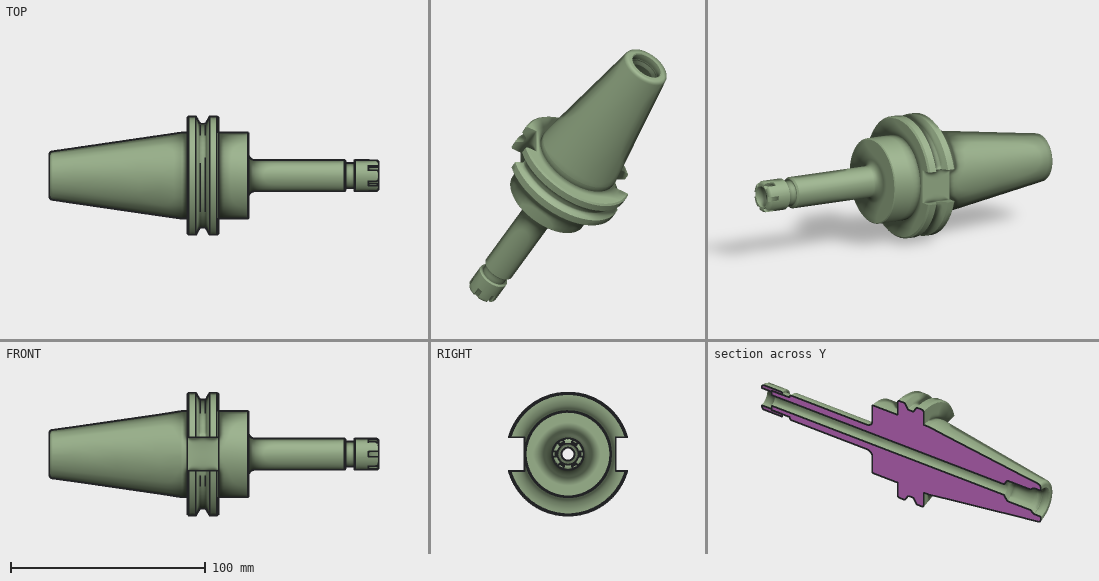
import cadquery as cq
import math

TOTAL_LENGTH = 169.8
TAPER_END_X = 68.3
FLANGE_START_X = 71.2
FLANGE_END_X = 87.3
BODY_END_X = 102.8
SHANK_END_X = 152.9
NUT_START_X = 157.3

BODY_DIAMETER = 44.5
FLANGE_DIAMETER = 63.5
SHANK_DIAMETER = 16.3
NECK_DIAMETER = 13.0

TAPER_RATIO = 7 / 24
TAPER_EDGE_FILLET = 2.0

FLANGE_CHAMFER = 0.8
GROOVE_CENTRE_X = 79.2
GROOVE_FLOOR_WIDTH = 3.0
GROOVE_DEPTH = 3.5
GROOVE_WALL_ANGLE = 30
GROOVE_FLOOR_FILLET = 0.5
DRIVE_SLOT_WIDTH = 17.2
DRIVE_FLOOR_FRONT = 22.5
DRIVE_FLOOR_BACK = 24.6

BODY_EDGE_CHAMFER = 0.5
SHANK_ROOT_FILLET = 3.0
SHANK_CHAMFER = 0.8

BORE_MOUTH_DIAMETER = 17.7
COUNTERBORE_DIAMETER = 16.6
COUNTERBORE_DEPTH = 4.0
THREAD_DIAMETER = 16.0
THREAD_DEPTH = 4.8
CENTRE_CONE_ANGLE = 90
TAP_DRILL_DIAMETER = 13.0
TAP_DRILL_DEPTH = 20.4
DRILL_POINT_ANGLE = 118
THROUGH_DIAMETER = 6.6

NUT_DIAMETER = 16.3
NUT_REAR_CHAMFER = 0.3
NUT_NOSE_FILLET = 1.7
NUT_OPENING_DIAMETER = 10.9
NUT_LIP_LENGTH = 6.0
NUT_SLOT_COUNT = 6
NUT_SLOT_WIDTH = 2.7
NUT_SLOT_LENGTH = 5.5
NUT_SLOT_DEPTH = 2.0
NUT_SLOT_FILLET = 0.5

NECK_END_X = TOTAL_LENGTH - NUT_LIP_LENGTH


def cylinder_x(diameter, start_x, end_x):
    return cq.Workplane("YZ", origin=(start_x, 0, 0)).circle(diameter / 2).extrude(end_x - start_x)


def turned(points):
    """Revolve a closed (x, radius) outline about the X axis."""
    return cq.Workplane("XY").polyline(points).close().revolve(360, (0, 0, 0), (1, 0, 0))


def make_taper():
    small_radius = (BODY_DIAMETER - TAPER_END_X * TAPER_RATIO) / 2
    taper = turned([
        (0, 0),
        (0, small_radius),
        (TAPER_END_X, BODY_DIAMETER / 2),
        (TAPER_END_X, 0),
    ])
    return taper.faces("<X").edges().fillet(TAPER_EDGE_FILLET)


def make_groove_cutter():
    floor_radius = FLANGE_DIAMETER / 2 - GROOVE_DEPTH
    clear_radius = FLANGE_DIAMETER / 2 + 1.7
    half_floor = GROOVE_FLOOR_WIDTH / 2
    half_top = half_floor + (clear_radius - floor_radius) * math.tan(math.radians(GROOVE_WALL_ANGLE))
    cutter = turned([
        (GROOVE_CENTRE_X - half_floor, floor_radius),
        (GROOVE_CENTRE_X + half_floor, floor_radius),
        (GROOVE_CENTRE_X + half_top, clear_radius),
        (GROOVE_CENTRE_X - half_top, clear_radius),
    ])
    floor_edges = cutter.edges(cq.selectors.RadiusNthSelector(0))
    return floor_edges.fillet(GROOVE_FLOOR_FILLET)


def make_drive_slot_cutter(side, floor_distance):
    """Block that clears one drive slot; side is -1 for -Y and +1 for +Y."""
    depth = FLANGE_DIAMETER / 2
    length = FLANGE_END_X - FLANGE_START_X
    return cq.Workplane("XY").box(length, depth, DRIVE_SLOT_WIDTH).translate(
        ((FLANGE_START_X + FLANGE_END_X) / 2, side * (floor_distance + depth / 2), 0)
    )


def make_flange():
    flange = cylinder_x(FLANGE_DIAMETER, FLANGE_START_X, FLANGE_END_X)
    flange = flange.faces("<X or >X").edges().chamfer(FLANGE_CHAMFER)
    flange = flange.cut(make_groove_cutter())
    flange = flange.cut(make_drive_slot_cutter(-1, DRIVE_FLOOR_FRONT))
    return flange.cut(make_drive_slot_cutter(1, DRIVE_FLOOR_BACK))


def make_shank():
    """Shank with a flared root and a chamfered end, and the neck that carries the nut."""
    radius = SHANK_DIAMETER / 2
    root_centre = (BODY_END_X + SHANK_ROOT_FILLET, radius + SHANK_ROOT_FILLET)
    arc_offset = SHANK_ROOT_FILLET * math.sin(math.radians(45))
    shank = (
        cq.Workplane("XY")
        .moveTo(BODY_END_X, 0)
        .lineTo(BODY_END_X, root_centre[1])
        .threePointArc(
            (root_centre[0] - arc_offset, root_centre[1] - arc_offset),
            (root_centre[0], radius),
        )
        .lineTo(SHANK_END_X - SHANK_CHAMFER, radius)
        .lineTo(SHANK_END_X, radius - SHANK_CHAMFER)
        .lineTo(SHANK_END_X, 0)
        .close()
        .revolve(360, (0, 0, 0), (1, 0, 0))
    )
    return shank.union(cylinder_x(NECK_DIAMETER, SHANK_END_X, NECK_END_X))


def make_bore():
    """Stepped bore: counterbore, threaded length, tap drill with its point, and through hole."""
    mouth_chamfer = (BORE_MOUTH_DIAMETER - COUNTERBORE_DIAMETER) / 2
    cone_slope = math.tan(math.radians(CENTRE_CONE_ANGLE / 2))
    cone_length = (THREAD_DIAMETER - TAP_DRILL_DIAMETER) / 2 / cone_slope
    point_slope = math.tan(math.radians(DRILL_POINT_ANGLE / 2))
    point_length = (TAP_DRILL_DIAMETER - THROUGH_DIAMETER) / 2 / point_slope
    return turned([
        (0, 0),
        (0, BORE_MOUTH_DIAMETER / 2),
        (mouth_chamfer, COUNTERBORE_DIAMETER / 2),
        (COUNTERBORE_DEPTH, COUNTERBORE_DIAMETER / 2),
        (COUNTERBORE_DEPTH, THREAD_DIAMETER / 2),
        (THREAD_DEPTH, THREAD_DIAMETER / 2),
        (THREAD_DEPTH + cone_length, TAP_DRILL_DIAMETER / 2),
        (TAP_DRILL_DEPTH, TAP_DRILL_DIAMETER / 2),
        (TAP_DRILL_DEPTH + point_length, THROUGH_DIAMETER / 2),
        (NECK_END_X, THROUGH_DIAMETER / 2),
        (NECK_END_X, 0),
    ])


def make_holder():
    body = cylinder_x(BODY_DIAMETER, TAPER_END_X, BODY_END_X)
    body = body.faces(">X").edges().chamfer(BODY_EDGE_CHAMFER)
    holder = make_taper().union(body).union(make_flange()).union(make_shank())
    return holder.cut(make_bore())


def make_nut_slots():
    """Wrench slots in the nut's front edge, spaced evenly from the -Y side."""
    slot_floor = NUT_DIAMETER / 2 - NUT_SLOT_DEPTH
    slot = cq.Workplane("XY").box(
        NUT_SLOT_LENGTH, NUT_DIAMETER, NUT_SLOT_WIDTH, centered=(False, False, True)
    ).translate((TOTAL_LENGTH - NUT_SLOT_LENGTH, -slot_floor - NUT_DIAMETER, 0))
    slot = slot.edges("|Y and <X").fillet(NUT_SLOT_FILLET)
    slots = cq.Workplane("XY")
    for index in range(NUT_SLOT_COUNT):
        slots = slots.add(slot.rotate((0, 0, 0), (1, 0, 0), index * 360 / NUT_SLOT_COUNT))
    return slots.combine()


def make_nut():
    radius = NUT_DIAMETER / 2
    nut = turned([
        (NUT_START_X, NECK_DIAMETER / 2),
        (NUT_START_X, radius - NUT_REAR_CHAMFER),
        (NUT_START_X + NUT_REAR_CHAMFER, radius),
        (TOTAL_LENGTH, radius),
        (TOTAL_LENGTH, NUT_OPENING_DIAMETER / 2),
        (NECK_END_X, NUT_OPENING_DIAMETER / 2),
        (NECK_END_X, NECK_DIAMETER / 2),
    ])
    nose_edge = nut.faces(">X").edges(cq.selectors.RadiusNthSelector(-1))
    nut = nose_edge.fillet(NUT_NOSE_FILLET)
    return nut.cut(make_nut_slots())


holder = make_holder()
nut = make_nut()

result = cq.Compound.makeCompound([holder.val(), nut.val()])